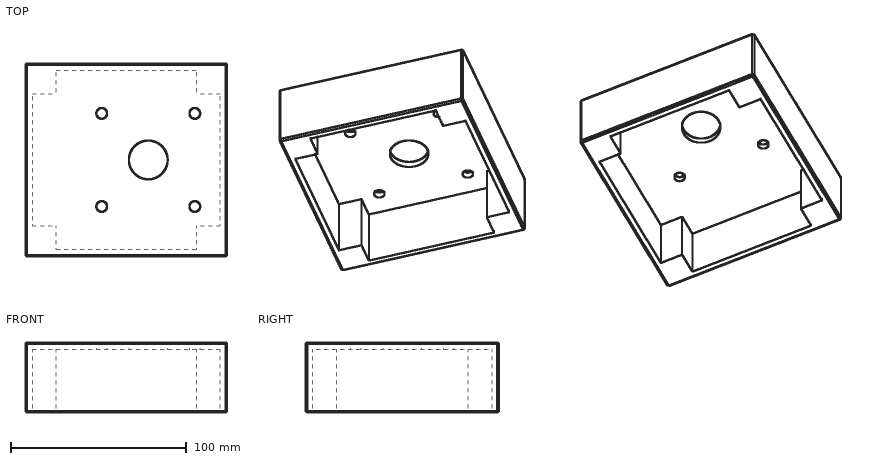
import cadquery as cq

length = 115.0
width = 110.0
height = 40.0
edge_chamfer = 1.0

wall = 4.0
post_side = 13.5

hole_center_x = 12.5
center_hole_diameter = 22.0
screw_hole_diameter = 6.0
screw_hole_spacing = 53.0

cavity_length = length - 2 * wall
cavity_width = width - 2 * wall
cavity_height = height - wall


def chamfered_box():
    """Solid outer block with every edge chamfered."""
    return cq.Workplane("XY").box(length, width, height).edges().chamfer(edge_chamfer)


def cavity():
    """Space under the top plate, leaving a square post in each corner."""
    bottom = cq.Workplane("XY").workplane(offset=-height / 2)
    space = bottom.rect(cavity_length, cavity_width).extrude(cavity_height)
    posts = (
        bottom.rect(cavity_length - post_side, cavity_width - post_side, forConstruction=True)
        .vertices()
        .rect(post_side, post_side)
        .extrude(cavity_height)
    )
    return space.cut(posts)


def plate_holes():
    """Large central hole and the square pattern of screw holes around it."""
    plane = cq.Workplane("XY").center(hole_center_x, 0)
    center_hole = plane.circle(center_hole_diameter / 2).extrude(height)
    screw_holes = (
        plane.rect(screw_hole_spacing, screw_hole_spacing, forConstruction=True)
        .vertices()
        .circle(screw_hole_diameter / 2)
        .extrude(height)
    )
    return center_hole.union(screw_holes)


result = chamfered_box().cut(cavity()).cut(plate_holes())